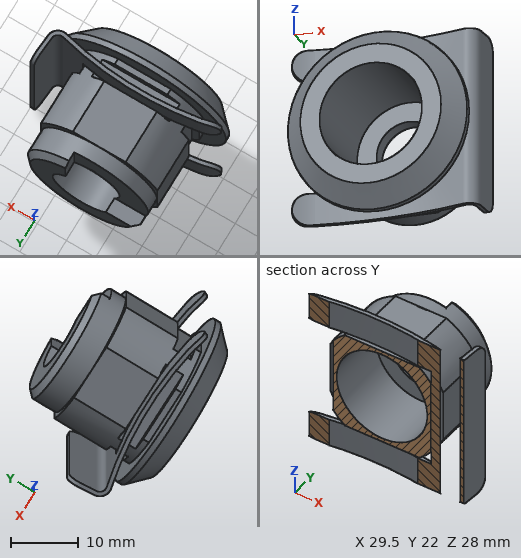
import cadquery as cq
import math

cone_end = 3.0
flange_rear = 4.0
groove_front = 5.0
groove_rear = 8.0
shank_rear = 17.0
rim_floor = 19.5
bushing_length = 22.0

flange_radius = 14.0
flange_face_radius = flange_radius - cone_end
shank_radius = 10.99
shank_flat = 10.0
groove_flat = 8.75
boss_radius = 9.9
rim_chamfer = 1.0
counterbore_radius = 8.0
bore_radius = 5.0
counterbore_depth = shank_rear
notch_offset = 2.8

clip_height = 27.7
leg_width = 5.0
strip_thickness = 0.7
crown_x = -1.5
crown_radius = 57.88
crown_left_x = -11.1
crown_right_x = 12.67
tail_bend_radius = 12.4
tail_bend_angle = math.radians(13.5)
tail_length = 0.62
tab_bend_radius = 1.05
tab_lean = math.radians(4.5)
tab_length = 4.55
tab_corner_radius = 2.0


def cylinder(radius, start, end):
    """Cylinder about the Y axis between two stations."""
    return cq.Workplane("XZ", origin=(0, start, 0)).circle(radius).extrude(start - end)


def square_bar(half_width, start, end):
    """Square bar about the Y axis between two stations."""
    side = 2 * half_width
    return cq.Workplane("XZ", origin=(0, start, 0)).rect(side, side).extrude(start - end)


def make_flange():
    """Flange with a conical front and a short cylindrical rim."""
    half_section = [
        (0, 0),
        (flange_face_radius, 0),
        (flange_radius, cone_end),
        (flange_radius, flange_rear),
        (0, flange_rear),
    ]
    return cq.Workplane("XY").polyline(half_section).close().revolve(360, (0, 0, 0), (0, 1, 0))


def make_shank():
    """Round shank with four flats, and a groove cut deeper into each flat."""
    shank = cylinder(shank_radius, flange_rear, shank_rear)
    shank = shank.intersect(square_bar(shank_flat, flange_rear, shank_rear))
    groove = cylinder(2 * shank_radius, groove_front, groove_rear)
    groove = groove.cut(square_bar(groove_flat, groove_front, groove_rear))
    return shank.cut(groove)


def make_rear_boss():
    """Round rear boss whose raised rim is cleared in the (-X, +Z) corner."""
    boss = cylinder(boss_radius, shank_rear, bushing_length).faces(">Y").chamfer(rim_chamfer)
    reach = 2 * boss_radius
    notch = cq.Workplane("XY").box(reach, bushing_length - rim_floor, reach, centered=False)
    return boss.cut(notch.translate((notch_offset - reach, rim_floor, -notch_offset)))


def make_bushing():
    bushing = make_flange().union(make_shank()).union(make_rear_boss())
    bushing = bushing.cut(cylinder(counterbore_radius, 0, counterbore_depth))
    return bushing.cut(cylinder(bore_radius, 0, bushing_length))


crown_left_tilt = math.asin((crown_left_x - crown_x) / crown_radius)
crown_right_tilt = math.asin((crown_right_x - crown_x) / crown_radius)
tail_tilt = crown_left_tilt - tail_bend_angle
tab_tilt = tab_lean - math.pi / 2


def polar(center, radius, tilt):
    """Point at a radius from a center, in the direction of a tilt."""
    return (center[0] + radius * math.sin(tilt), center[1] + radius * math.cos(tilt))


crown_center = (crown_x, groove_rear - crown_radius)
tail_center = polar(crown_center, crown_radius - tail_bend_radius, crown_left_tilt)
tab_center = polar(crown_center, crown_radius + tab_bend_radius, crown_right_tilt)


def strip_edge(depth):
    """Points of the strip's side at a depth below its rear side, from tail tip to tab end.

    They are the tail tip, then the start, middle and end of the tail bend, the middle and
    end of the crown, the middle and end of the tab bend, and the tab end.
    """
    tail_radius = tail_bend_radius - depth
    tab_radius = -(tab_bend_radius + depth)
    tail_start = polar(tail_center, tail_radius, tail_tilt)
    tab_start = polar(tab_center, tab_radius, tab_tilt)
    return [
        polar(tail_start, tail_length, tail_tilt - math.pi / 2),
        tail_start,
        polar(tail_center, tail_radius, (tail_tilt + crown_left_tilt) / 2),
        polar(tail_center, tail_radius, crown_left_tilt),
        polar(crown_center, crown_radius - depth, (crown_left_tilt + crown_right_tilt) / 2),
        polar(crown_center, crown_radius - depth, crown_right_tilt),
        polar(tab_center, tab_radius, (crown_right_tilt + tab_tilt) / 2),
        tab_start,
        polar(tab_start, tab_length, tab_lean),
    ]


def trace_strip_edge(outline, points):
    """Add one side of the strip to an outline that stands at the side's first point."""
    first_arc_start, *arc_points, last_point = points[1:]
    outline = outline.lineTo(*first_arc_start)
    for middle, end in zip(arc_points[0::2], arc_points[1::2]):
        outline = outline.threePointArc(middle, end)
    return outline.lineTo(*last_point)


def make_strip():
    """Bent strip over the full height of the clip, with rounded tab corners."""
    rear_side = strip_edge(0)
    front_side = strip_edge(strip_thickness)
    outline = trace_strip_edge(cq.Workplane("XY").moveTo(*rear_side[0]), rear_side)
    outline = outline.lineTo(*front_side[-1])
    outline = trace_strip_edge(outline, front_side[::-1])
    strip = outline.close().extrude(clip_height / 2, both=True)
    across_tab = cq.Vector(math.sin(tab_tilt), math.cos(tab_tilt), 0)
    return strip.edges(cq.selectors.ParallelDirSelector(across_tab)).fillet(tab_corner_radius)


def make_leg_end_cutter(leg_z):
    """Cutter that leaves a half-round end on the leg centred at a given height."""
    tip_x, tip_y = strip_edge(0)[0]
    end_radius = leg_width / 2
    tail_plane = cq.Plane(
        origin=(tip_x, tip_y, leg_z),
        xDir=(math.cos(tail_tilt), -math.sin(tail_tilt), 0),
        normal=(math.sin(tail_tilt), math.cos(tail_tilt), 0),
    )
    margin = 2 * strip_thickness
    block = cq.Workplane(tail_plane).center((end_radius - margin) / 2, 0)
    block = block.rect(end_radius + margin, leg_width + margin).extrude(margin, both=True)
    rounding = cq.Workplane(tail_plane).center(end_radius, 0)
    return block.cut(rounding.circle(end_radius).extrude(margin, both=True))


def make_clip():
    """Fork-shaped clip whose two legs straddle the groove of the bushing."""
    clip = make_strip()
    opening_height = clip_height - 2 * leg_width
    opening_length = clip_height
    opening = cq.Workplane("XY").box(opening_length, 2 * bushing_length, opening_height)
    clip = clip.cut(opening.translate((groove_flat - opening_length / 2, 0, 0)))
    for side in (-1, 1):
        leg_z = side * (clip_height - leg_width) / 2
        clip = clip.cut(make_leg_end_cutter(leg_z))
    return clip


bushing = make_bushing()
clip = make_clip()

result = cq.Compound.makeCompound([bushing.solids().val(), clip.solids().val()])